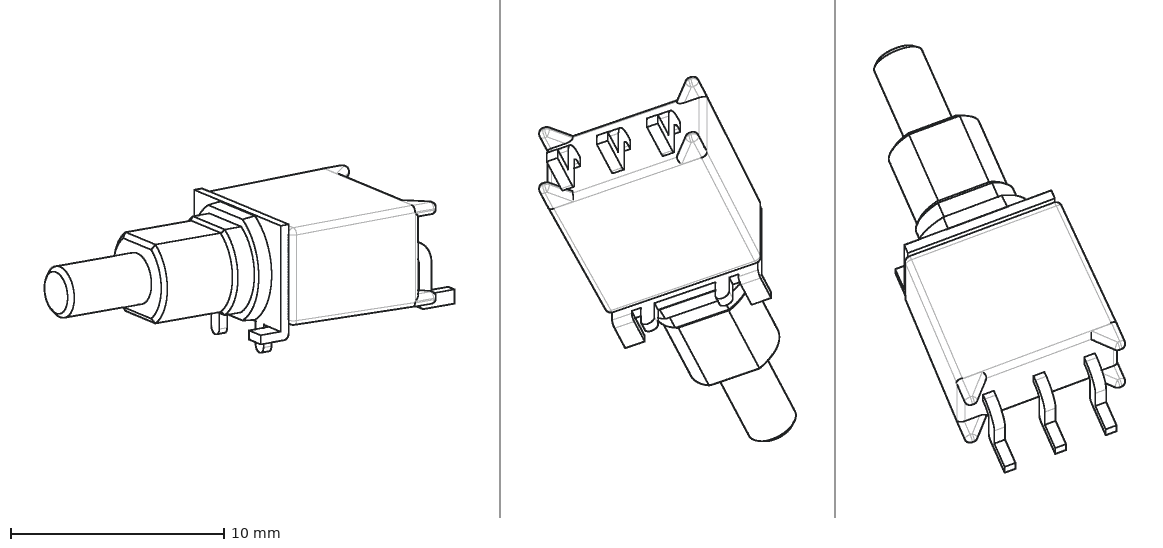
import cadquery as cq
import math


overall_length = 20.45

housing_half_width = 4.05
housing_half_height = 2.47
housing_rear = 7.6
housing_draft = 0.9
edge_radius = 0.29

lug_rear = 8.59
lug_edge_radius = 0.27
lug_thickness = 0.6
lug_tip_width = 0.5
lug_root_width = 1.68
lug_root = 7.3

plate_thickness = 0.45
plate_half_width = 3.72
plate_half_height = 2.58
leg_center = 1.9
leg_width = 0.7
leg_bottom = -4.03
tab_inner = 2.72
tab_front = -1.12
tab_bend_radius = 0.29

flange_radius = 2.95
flange_flat = 2.54
flange_front = -0.67
flange_draft = 6.0
collar_radius = 2.5
collar_flat = 2.09
collar_front = -1.78
bushing_radius = 2.31
bushing_flat = 1.92
bushing_front = -5.6
bushing_chamfer_radial = 0.25
bushing_chamfer_axial = 0.18

plunger_radius = 1.23
plunger_front = -10.15
plunger_chamfer = 0.22

terminal_pitch = 2.55
terminal_width = 0.55
terminal_thickness = 0.7
terminal_root = 7.15
terminal_top = 0.39
terminal_bend_rear = 9.02
terminal_bend_radius = 1.19
terminal_heel_radius = 0.29
foot_bottom = -3.0
terminal_rear = plunger_front + overall_length


def block(x_range, y_range, z_range):
    """Axis-aligned box between the given limits."""
    (x0, x1), (y0, y1), (z0, z1) = x_range, y_range, z_range
    return cq.Workplane("XY").box(x1 - x0, y1 - y0, z1 - z0, centered=False).translate((x0, y0, z0))


def make_housing():
    """Rounded box at full size where the lugs start, drafted toward the bracket plate."""
    growth = (housing_rear - lug_root) * math.tan(math.radians(housing_draft))
    return (
        cq.Workplane("XZ", origin=(0, housing_rear, 0))
        .rect(2 * (housing_half_width + growth), 2 * (housing_half_height + growth))
        .extrude(housing_rear - plate_thickness, taper=housing_draft)
        .edges()
        .fillet(edge_radius)
    )


def make_lug():
    """Rounded triangular lug at the +X, +Z corner."""
    lug = (
        cq.Workplane("XY", origin=(0, 0, housing_half_height - lug_thickness))
        .moveTo(housing_half_width, lug_root)
        .lineTo(housing_half_width, lug_rear)
        .lineTo(housing_half_width - lug_tip_width, lug_rear)
        .lineTo(housing_half_width - lug_root_width, lug_root)
        .close()
        .extrude(lug_thickness)
    )
    buried_edges = lug.faces("<Y").edges().vals()
    exposed_edges = [edge for edge in lug.edges().vals() if edge not in buried_edges]
    return lug.newObject(exposed_edges).fillet(lug_edge_radius)


def flatted_disc(radius, flat, rear, front, draft=0.0):
    """Disc along Y with flats above and below, narrowing forward by the draft angle."""
    half_flat = math.sqrt(radius**2 - flat**2)
    return (
        cq.Workplane("XZ", origin=(0, rear, 0))
        .moveTo(-half_flat, flat)
        .lineTo(half_flat, flat)
        .threePointArc((radius, 0), (half_flat, -flat))
        .lineTo(-half_flat, -flat)
        .threePointArc((-radius, 0), (-half_flat, flat))
        .close()
        .extrude(rear - front, taper=draft)
    )


def make_nose():
    """Flange, collar and bushing in front of the plate."""
    collar_chamfer = collar_radius - bushing_radius
    flange = flatted_disc(flange_radius, flange_flat, 0, flange_front, flange_draft)
    collar = flatted_disc(collar_radius, collar_flat, 0, collar_front)
    collar = collar.faces("<Y").chamfer(collar_chamfer)
    bushing = flatted_disc(bushing_radius, bushing_flat, 0, bushing_front)
    bushing = bushing.faces("<Y").edges().chamfer(bushing_chamfer_axial, bushing_chamfer_radial)
    return flange.union(collar).union(bushing)


def make_plunger():
    rod = cq.Workplane("XZ").circle(plunger_radius).extrude(-plunger_front)
    return rod.faces("<Y").chamfer(plunger_chamfer)


def make_bracket():
    """Plate with two round-ended solder legs and two tabs bent forward."""
    bracket = block(
        (-plate_half_width, plate_half_width),
        (0, plate_thickness),
        (-plate_half_height, plate_half_height),
    )
    tab_bottom = -plate_half_height - plate_thickness
    for side in (-1, 1):
        leg_edges = (side * leg_center - leg_width / 2, side * leg_center + leg_width / 2)
        tab_edges = sorted((side * tab_inner, side * plate_half_width))
        leg_tip_center = leg_bottom + leg_width / 2
        leg = block(leg_edges, (0, plate_thickness), (leg_tip_center, 0))
        leg_tip = (
            cq.Workplane("XZ", origin=(side * leg_center, 0, leg_tip_center))
            .circle(leg_width / 2)
            .extrude(-plate_thickness)
        )
        tab = block(tab_edges, (tab_front, plate_thickness), (tab_bottom, -plate_half_height))
        tab = tab.edges(">Y and <Z").fillet(tab_bend_radius)
        bracket = bracket.union(leg).union(leg_tip).union(tab)
    return bracket


def make_terminal(x_center):
    """Strip that leaves the housing, bends down and ends in a foot pointing to the rear."""
    bend_front = terminal_bend_rear - terminal_thickness
    inner_radius = terminal_bend_radius - terminal_thickness
    inner_top = terminal_top - terminal_thickness
    bend_center_y = terminal_bend_rear - terminal_bend_radius
    bend_center_z = terminal_top - terminal_bend_radius
    foot_top = foot_bottom + terminal_thickness
    outer_offset = terminal_bend_radius * math.sqrt(0.5)
    inner_offset = inner_radius * math.sqrt(0.5)
    return (
        cq.Workplane("YZ", origin=(x_center - terminal_width / 2, 0, 0))
        .moveTo(terminal_root, terminal_top)
        .lineTo(bend_center_y, terminal_top)
        .threePointArc(
            (bend_center_y + outer_offset, bend_center_z + outer_offset),
            (terminal_bend_rear, bend_center_z),
        )
        .lineTo(terminal_bend_rear, foot_top)
        .lineTo(terminal_rear, foot_top)
        .lineTo(terminal_rear, foot_bottom)
        .lineTo(bend_front + terminal_heel_radius, foot_bottom)
        .radiusArc((bend_front, foot_bottom + terminal_heel_radius), terminal_heel_radius)
        .lineTo(bend_front, bend_center_z)
        .threePointArc(
            (bend_center_y + inner_offset, bend_center_z + inner_offset),
            (bend_center_y, inner_top),
        )
        .lineTo(terminal_root, inner_top)
        .close()
        .extrude(terminal_width)
    )


result = make_housing().union(make_bracket()).union(make_nose()).union(make_plunger())

right_top_lug = make_lug()
right_bottom_lug = right_top_lug.mirror("XY")
for right_lug in (right_top_lug, right_bottom_lug):
    result = result.union(right_lug).union(right_lug.mirror("YZ"))

for position in (-1, 0, 1):
    result = result.union(make_terminal(position * terminal_pitch))